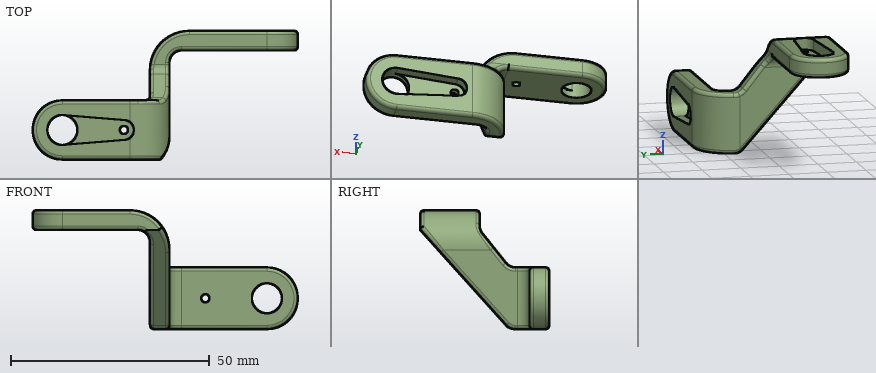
import cadquery as cq
import math

thickness = 5.0
outer_bend_radius = 10.0
inner_bend_radius = 3.0
edge_radius = 1.0

total_height = 30.0
total_depth = 32.5
leg_left = 29.5
leg_right = leg_left + thickness

upper_width = 15.0
upper_end_radius = upper_width / 2
upper_hole_x = upper_end_radius
upper_underside = total_height - thickness
lower_hole_x = 59.0

rear_edge_slope = 1.25
slant_corner_radius = 3.0
leg_corner_y = total_depth - outer_bend_radius
lower_height = upper_underside - rear_edge_slope * (leg_corner_y - upper_width)
lower_end_radius = lower_height / 2
front_slant_top_y = -thickness * leg_corner_y / upper_underside
bend_start_z = total_height - outer_bend_radius

hole_diameter = 7.5
pin_diameter = 2.0
pin_spacing = 15.5
pocket_depth = 3.0
pocket_tip_radius = 2.5

upper_arm_plane = cq.Plane(
    origin=(upper_hole_x, upper_end_radius, total_height), xDir=(1, 0, 0), normal=(0, 0, 1)
)
lower_arm_plane = cq.Plane(
    origin=(lower_hole_x, total_depth, lower_end_radius), xDir=(-1, 0, 0), normal=(0, 1, 0)
)


def bent_sheet(plane, arm_length, height, width):
    """Straight arm and leg joined by a rounded bend; local origin at the outer foot of the leg."""
    diagonal = math.sqrt(0.5)
    outer_center = (outer_bend_radius, height - outer_bend_radius)
    inner_center = (thickness + inner_bend_radius, height - thickness - inner_bend_radius)

    def middle(center, radius):
        return (center[0] - radius * diagonal, center[1] + radius * diagonal)

    return (
        cq.Workplane(plane)
        .moveTo(arm_length, height)
        .lineTo(outer_center[0], height)
        .threePointArc(middle(outer_center, outer_bend_radius), (0, outer_center[1]))
        .lineTo(0, 0)
        .lineTo(thickness, 0)
        .lineTo(thickness, inner_center[1])
        .threePointArc(middle(inner_center, inner_bend_radius), (inner_center[0], height - thickness))
        .lineTo(arm_length, height - thickness)
        .close()
        .extrude(width)
    )


def block(lower_corner, upper_corner):
    size = [high - low for low, high in zip(lower_corner, upper_corner)]
    return cq.Workplane("XY").box(*size, centered=False).translate(lower_corner)


def slanted_envelope():
    """YZ silhouette of the slanted leg and lower arm, swept along X.

    The front slant runs on straight to the top, ahead of the upper arm's front edge.
    """
    envelope = (
        cq.Workplane("YZ")
        .polyline([
            (front_slant_top_y, total_height),
            (upper_width, total_height),
            (upper_width, upper_underside),
            (leg_corner_y, lower_height),
            (total_depth, lower_height),
            (total_depth, 0),
            (leg_corner_y, 0),
        ])
        .close()
        .extrude(lower_hole_x)
    )
    corners = [(leg_corner_y, 0), (leg_corner_y, lower_height), (upper_width, upper_underside)]
    for y, z in corners:
        corner = cq.selectors.NearestToPointSelector((lower_hole_x / 2, y, z))
        envelope = envelope.edges("|X").edges(corner).fillet(slant_corner_radius)
    return envelope


def upper_sheet(front_y, rear_y):
    plane = cq.Plane(origin=(leg_right, front_y, 0), xDir=(-1, 0, 0), normal=(0, 1, 0))
    return bent_sheet(plane, leg_right - upper_hole_x, total_height, rear_y - front_y)


def lower_sheet(height):
    plane = cq.Plane(origin=(leg_left, 0, 0), xDir=(1, 0, 0), normal=(0, 0, 1))
    return bent_sheet(plane, lower_hole_x - leg_left, total_depth, height)


def through_disc(plane, radius):
    """Disc as thick as the sheet, sunk from an arm's outer face."""
    return cq.Workplane(plane).circle(radius).extrude(-thickness)


def round_edges_near(solid, points):
    """Fillet the edge nearest each point, together with the edges that run on tangent from it."""
    edges = [solid.edges(cq.selectors.NearestToPointSelector(point)).val() for point in points]
    return solid.newObject(edges).fillet(edge_radius)


def upper_arm():
    """Straight strip bent down into the leg, with a round end and rounded rims."""
    strip = upper_sheet(0, upper_width).union(through_disc(upper_arm_plane, upper_end_radius)).clean()
    return round_edges_near(strip, [(0, upper_end_radius, z) for z in (upper_underside, total_height)])


def slanted_leg_and_lower_arm():
    """Both bent sheets share the leg; the envelope trims them and a round end closes the lower arm."""
    sheets = upper_sheet(front_slant_top_y, leg_corner_y).union(lower_sheet(bend_start_z))
    lower_end = through_disc(lower_arm_plane, lower_end_radius)
    body = sheets.intersect(slanted_envelope()).union(lower_end).clean()
    lower_tip_x = lower_hole_x + lower_end_radius
    front_slant_middle = (leg_corner_y / 2, upper_underside / 2)
    rear_slant_middle = ((upper_width + leg_corner_y) / 2, (upper_underside + lower_height) / 2)
    points = [(lower_tip_x, y, lower_end_radius) for y in (total_depth - thickness, total_depth)]
    for x in (leg_left, leg_right):
        points += [(x, *front_slant_middle), (x, *rear_slant_middle)]
    return round_edges_near(body, points)


def bracket_body():
    """In front, the arm and the slanted leg trim each other to a mitre; behind, they add up."""
    arm = upper_arm()
    leg = slanted_leg_and_lower_arm()
    front_zone = block(
        (upper_hole_x, front_slant_top_y, 0), (leg_right, upper_end_radius, total_height)
    )
    below_bend = block((0, 0, 0), (leg_right, upper_width, bend_start_z))
    rear_of_bend = block(
        (0, upper_end_radius, bend_start_z),
        (leg_left - inner_bend_radius, total_depth, total_height),
    )
    mitre = leg.intersect(front_zone).intersect(arm)
    leg_rear = leg.cut(front_zone).cut(rear_of_bend)
    arm_rear = arm.cut(front_zone).cut(below_bend)
    return leg_rear.union(mitre).union(arm_rear).clean()


def pocket_cutter(plane):
    """Through hole, pin hole and the tapered pocket whose sides are tangent to both round ends."""
    hole_radius = hole_diameter / 2
    taper_sin = (hole_radius - pocket_tip_radius) / pin_spacing
    taper_cos = math.sqrt(1 - taper_sin ** 2)
    tip_x = pin_spacing + pocket_tip_radius * taper_sin
    tip_y = pocket_tip_radius * taper_cos
    root_x = hole_radius * taper_sin
    root_y = hole_radius * taper_cos
    pocket = (
        cq.Workplane(plane)
        .moveTo(root_x, root_y)
        .lineTo(tip_x, tip_y)
        .threePointArc((pin_spacing + pocket_tip_radius, 0), (tip_x, -tip_y))
        .lineTo(root_x, -root_y)
        .close()
        .extrude(-pocket_depth)
    )
    hole = through_disc(plane, hole_radius)
    pin = cq.Workplane(plane).center(pin_spacing, 0).circle(pin_diameter / 2).extrude(-thickness)
    return pocket.union(hole).union(pin)


result = bracket_body()
for arm_plane in (upper_arm_plane, lower_arm_plane):
    result = result.cut(pocket_cutter(arm_plane))